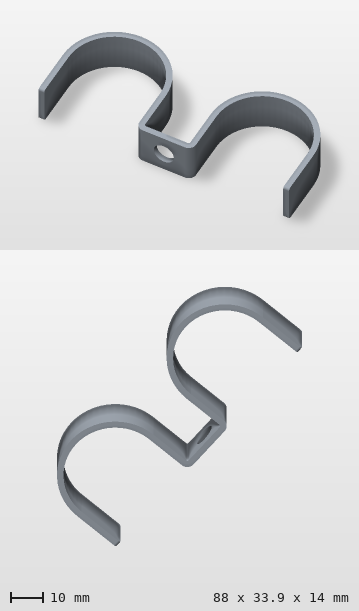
import cadquery as cq

overall_length = 88.0
strip_width = 14.0
thickness = 2.0
saddle_radius = 18.0
leg_length = 15.9
bend_inner_radius = 0.5
hole_diameter = 7.0
corner_radius = 1.0

saddle_x = overall_length / 2 - saddle_radius
saddle_inner_radius = saddle_radius - thickness
bend_outer_radius = bend_inner_radius + thickness
web_half = saddle_x - saddle_inner_radius


def saddle(center_x):
    """Half ring arching over a pipe, centred on the X axis line."""
    ring = (
        cq.Workplane("XY")
        .center(center_x, 0)
        .circle(saddle_radius)
        .circle(saddle_inner_radius)
        .extrude(strip_width)
    )
    upper_half = cq.Workplane("XY").box(
        overall_length * 2, saddle_radius, strip_width, centered=(True, False, False)
    )
    return ring.intersect(upper_half)


def free_leg(side):
    """Outer leg with its two end corners rounded across the strip."""
    leg = (
        cq.Workplane("XY")
        .box(thickness, leg_length, strip_width, centered=(True, False, False))
        .translate((side * (overall_length - thickness) / 2, -leg_length, 0))
    )
    return leg.faces("<Y").edges("|X").fillet(corner_radius)


def central_channel():
    """U-shaped strip joining the saddles, with rounded bends and a screw hole."""
    outer = (
        cq.Workplane("XY")
        .box(2 * web_half, leg_length, strip_width, centered=(True, False, False))
        .edges("|Z and <Y")
        .fillet(bend_outer_radius)
    )
    inner = (
        cq.Workplane("XY")
        .box(2 * (web_half - thickness), leg_length, strip_width, centered=(True, False, False))
        .edges("|Z and <Y")
        .fillet(bend_inner_radius)
        .translate((0, thickness, 0))
    )
    hole = (
        cq.Workplane("XZ")
        .center(0, strip_width / 2)
        .circle(hole_diameter / 2)
        .extrude(-2 * thickness)
    )
    return outer.cut(inner).cut(hole).translate((0, -leg_length, 0))


result = central_channel()
for side in (-1, 1):
    result = result.union(saddle(side * saddle_x)).union(free_leg(side))